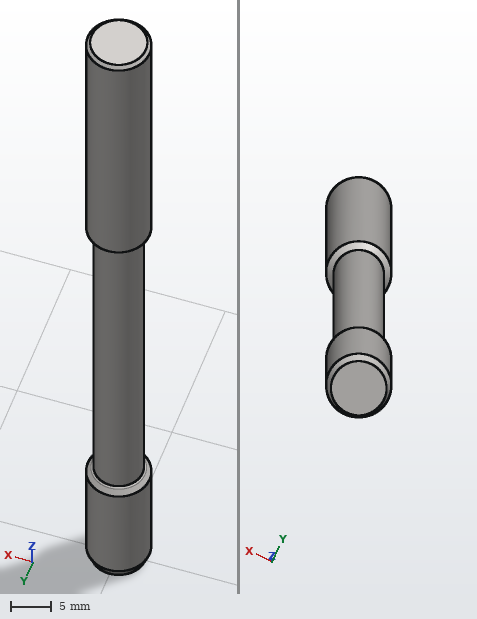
import cadquery as cq

total_length = 100.0
outer_radius = 4.0
neck_radius = 3.1
neck_bottom = 17.0
neck_top = 63.0
head_chamfer = outer_radius - neck_radius
end_chamfer_bottom = 16.1
end_chamfer_top = 16.8
end_chamfer_width = 0.6
top_chamfer_height = 0.5
top_chamfer_width = 0.5
tip_chamfer_height = 1.5
tip_chamfer_width = 0.6


def make_rod():
    """Thin neck with a thicker cylindrical head, turned about Z."""
    profile = [
        (0, neck_bottom),
        (neck_radius, neck_bottom),
        (neck_radius, neck_top),
        (outer_radius, neck_top + head_chamfer),
        (outer_radius, total_length - top_chamfer_height),
        (outer_radius - top_chamfer_width, total_length),
        (0, total_length),
    ]
    return cq.Workplane("XZ").polyline(profile).close().revolve(360, (0, 0), (0, 1))


def make_end_piece():
    """Short cylinder under the rod, chamfered at its shoulder and its tip."""
    profile = [
        (0, 0),
        (outer_radius - tip_chamfer_width, 0),
        (outer_radius, tip_chamfer_height),
        (outer_radius, end_chamfer_bottom),
        (outer_radius - end_chamfer_width, end_chamfer_top),
        (neck_radius, neck_bottom),
        (0, neck_bottom),
    ]
    return cq.Workplane("XZ").polyline(profile).close().revolve(360, (0, 0), (0, 1))


rod = make_rod()
end_piece = make_end_piece()

result = cq.Compound.makeCompound([rod.val(), end_piece.val()])